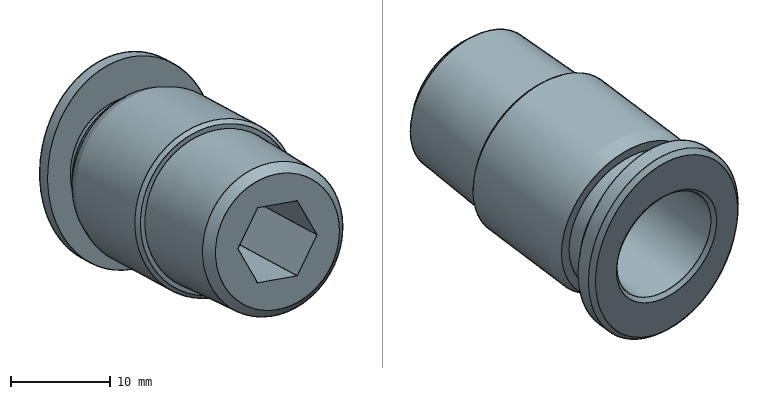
import cadquery as cq
import math

length = 31.8

flange_width = 19.5
flange_height = 22.5
flange_thickness = 2.15
flange_chamfer = 0.5

neck_radius = 7.12
neck_end = 4.0
collar_radius = 7.98
collar_end = 5.75

body_radius = 9.4
body_end = 19.72
lead_in_length = 1.53
lead_in_depth = 0.45
body_chamfer = 0.4

plug_root_radius = 8.5
plug_taper = 1 / 16
plug_chamfer = 0.95

bore_radius = 6.1
bore_chamfer = 0.4
bore_depth = body_end
hex_sides = 6
hex_across_flats = 7.95
hex_across_corners = hex_across_flats / math.cos(math.pi / hex_sides)


def make_flange():
    """Oval disc with its front rim chamfered."""
    disc = (
        cq.Workplane("YZ")
        .ellipse(flange_width / 2, flange_height / 2)
        .extrude(flange_thickness)
    )
    return disc.faces("<X").edges().chamfer(flange_chamfer)


def turn(profile):
    """Revolve a half outline of (x, radius) points about the X axis."""
    return cq.Workplane("XY").polyline(profile).close().revolve(360, (0, 0, 0), (1, 0, 0))


def make_barrel():
    """Neck, collar, body and tapered plug, turned about the X axis."""
    plug_tip_start = length - plug_chamfer
    plug_tip_radius = plug_root_radius - (plug_tip_start - body_end) * plug_taper / 2
    profile = [
        (flange_thickness, 0),
        (flange_thickness, neck_radius),
        (neck_end, neck_radius),
        (neck_end, collar_radius),
        (collar_end, collar_radius),
        (collar_end, body_radius - lead_in_depth),
        (collar_end + lead_in_length, body_radius),
        (body_end - body_chamfer, body_radius),
        (body_end, body_radius - body_chamfer),
        (body_end, plug_root_radius),
        (plug_tip_start, plug_tip_radius),
        (length, plug_tip_radius - plug_chamfer),
        (length, 0),
    ]
    return turn(profile)


def make_bore():
    """Blind tube bore with a chamfered mouth."""
    profile = [
        (0, 0),
        (0, bore_radius + bore_chamfer),
        (bore_chamfer, bore_radius),
        (bore_depth, bore_radius),
        (bore_depth, 0),
    ]
    return turn(profile)


def make_hex_hole():
    """Hexagon through the whole length, with two corners on the Y axis."""
    return cq.Workplane("YZ").polygon(hex_sides, hex_across_corners).extrude(length)


result = make_flange().union(make_barrel()).cut(make_bore()).cut(make_hex_hole())